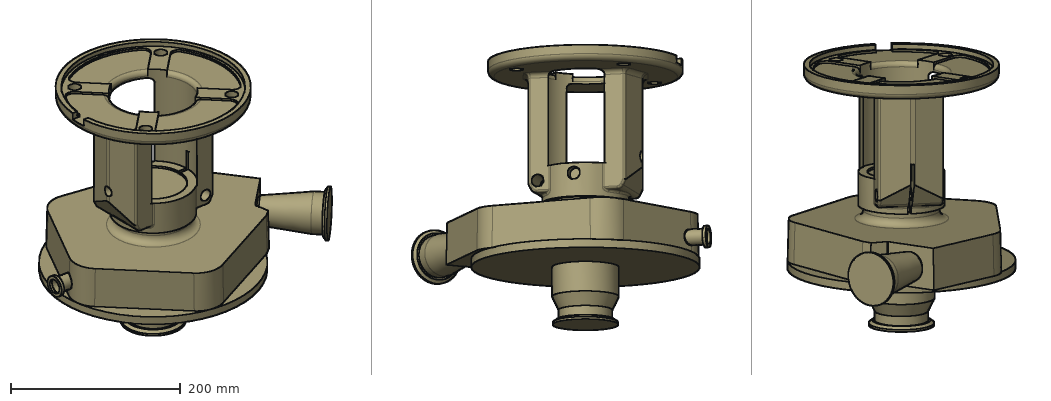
import cadquery as cq
import math


TOLERANCE = 0.01

BASE_RADIUS = 134.545
BASE_THICKNESS = 10.0
HOUSING_TOP = 60.4
HOUSING_DRAFT = 1.2
SIDE_COUNT = 5
SIDE_DISTANCE = 115.1
FIRST_SIDE_ANGLE = 27.2
SIDE_STEP = 360.0 / SIDE_COUNT
SIDE_CORNER_RADIUS = 34.0
CORNER_CUT_ANGLE = 39.0
CORNER_CUT_DISTANCE = 127.2
THROAT_DISTANCE = 139.8
THROAT_TURN = 45.0

OUTLET_ANGLE = 45.0
OUTLET_OFFSET = 91.2
OUTLET_HEIGHT = 35.0
OUTLET_FACE_DISTANCE = 114.8
OUTLET_CONE_START = 117.5
OUTLET_CONE_END = 180.0
OUTLET_END = 199.7
OUTLET_ROOT_RADIUS = 15.2
OUTLET_SMALL_RADIUS = 18.0
OUTLET_PIPE_RADIUS = 25.4
OUTLET_FERRULE_RADIUS = 32.0

INLET_RADIUS = 39.5
INLET_CONE_TOP = -35.3
INLET_CONE_BOTTOM = -51.3
INLET_PIPE_RADIUS = 31.75
INLET_FERRULE_RADIUS = 38.65
INLET_END = -68.7

FERRULE_RIM = 2.8
FERRULE_DEPTH = 6.0
FERRULE_ROOT = 2.5

DRAIN_HEIGHT = 29.5
DRAIN_END = 150.5
DRAIN_START = 110.0
DRAIN_TUBE_RADIUS = 9.7
DRAIN_BORE_RADIUS = 8.8
DRAIN_RIM_RADIUS = 13.0
DRAIN_RIM_THICKNESS = 4.0

NECK_RADIUS = 45.2
NECK_FILLET = 10.0
COLLAR_BOTTOM = 76.4
COLLAR_TOP = 116.6
COLLAR_RADIUS = 51.0
SHAFT_RADIUS = 40.0
SHAFT_RECESS = 2.5
COLLAR_HOLE_DIAMETER = 15.0
COLLAR_HOLE_HEIGHT = 104.3
SLIT_WIDTH = 4.0
SLIT_TOP = 140.0

LEG_HALF_WIDTH = 39.3
LEG_BOTTOM = 85.5
LEG_RIDGE_DISTANCE = 69.4
LEG_RIDGE_WIDTH = 6.0
LEG_FACET_ANGLE = 16.0
LEG_EDGE_FILLET = 3.0
LEG_BOTTOM_FILLET = 8.0
LEG_COLLAR_FILLET = 3.0
LEG_ROOT_FILLET = 6.0
LEG_SLANT_TOP = 115.0
LEG_SLANT_ANGLE = 27.0
LEG_HOLE_DIAMETER = 12.5
LEG_HOLE_HEIGHT = 129.0
CLAMP_BOLT_DIAMETER = 14.5
CLAMP_BOLT_Y = 47.5
CLAMP_BOLT_HEIGHT = 99.4

FLANGE_TOP = 245.8
FLANGE_BOTTOM = 228.3
FLANGE_RADIUS = 115.0
FLANGE_EDGE_FILLET = 7.0
FLANGE_BORE_RADIUS = 52.2
SPIGOT_RADIUS = 108.2
LEDGE_HEIGHT = 240.0
POCKET_FLOOR = 237.4
POCKET_RADIUS = 104.2
POCKET_CORNER_RADIUS = 10.0
POCKET_COUNT = 4
BORE_ROUND = 6.0
RIB_WIDTH = 22.8
RIB_ANGLE = 45.0
BOLT_CIRCLE_RADIUS = 92.9
BOLT_HOLE_DIAMETER = 15.5
NOTCH_WIDTH = 20.0


def disc(radius, bottom, top):
    return cq.Workplane("XY").workplane(offset=bottom).circle(radius).extrude(top - bottom)


def turned(profile):
    """Revolve (radius, height) points about the Z axis."""
    return cq.Workplane("XZ").polyline(profile).close().revolve(360, (0, 0, 0), (0, 1, 0))


def corner(side_a, side_b):
    """Crossing point of two lines, each given by its normal angle and distance from the axis."""
    angle_a, distance_a = math.radians(side_a[0]), side_a[1]
    angle_b, distance_b = math.radians(side_b[0]), side_b[1]
    spread = math.sin(angle_b - angle_a)
    x = (distance_a * math.sin(angle_b) - distance_b * math.sin(angle_a)) / spread
    y = (distance_b * math.cos(angle_a) - distance_a * math.cos(angle_b)) / spread
    return (x, y)


def housing():
    """Drafted pentagon whose upper side opens into a throat ending at the nozzle face."""
    sides = [(FIRST_SIDE_ANGLE + k * SIDE_STEP, SIDE_DISTANCE) for k in range(SIDE_COUNT)]
    right, top, left, bottom, lower_right = sides
    throat = (left[0] - THROAT_TURN, THROAT_DISTANCE)
    excess = 2 * (HOUSING_TOP - BASE_THICKNESS) * math.tan(math.radians(HOUSING_DRAFT))
    nozzle_face = (OUTLET_ANGLE, OUTLET_FACE_DISTANCE + excess)
    corner_cut = (CORNER_CUT_ANGLE, CORNER_CUT_DISTANCE)
    loop = [right, corner_cut, top, nozzle_face, throat, left, bottom, lower_right]
    points = [corner(loop[k - 1], loop[k]) for k in range(len(loop))]
    body = (
        cq.Workplane("XY")
        .workplane(offset=BASE_THICKNESS)
        .polyline(points)
        .close()
        .extrude(HOUSING_TOP - BASE_THICKNESS, taper=HOUSING_DRAFT)
    )
    middle = (BASE_THICKNESS + HOUSING_TOP) / 2
    rounded = [(throat, left), (left, bottom), (bottom, lower_right), (lower_right, right)]
    for side_a, side_b in rounded:
        x, y = corner(side_a, side_b)
        body = body.edges(cq.selectors.NearestToPointSelector((x, y, middle))).fillet(SIDE_CORNER_RADIUS)
    trim = (
        cq.Workplane("XY")
        .workplane(offset=BASE_THICKNESS)
        .polyline([
            corner(nozzle_face, top),
            corner((OUTLET_ANGLE, OUTLET_FACE_DISTANCE), top),
            corner((OUTLET_ANGLE, OUTLET_FACE_DISTANCE), throat),
            corner(nozzle_face, throat),
        ])
        .close()
        .extrude(HOUSING_TOP - BASE_THICKNESS)
    )
    return body.cut(trim)


def outlet():
    """Flared nozzle with a ferrule, turned about Z and then laid along the discharge axis."""
    rim_back = OUTLET_END - FERRULE_RIM
    nozzle = turned([
        (0, 0),
        (OUTLET_ROOT_RADIUS, 0),
        (OUTLET_ROOT_RADIUS, OUTLET_FACE_DISTANCE),
        (OUTLET_SMALL_RADIUS, OUTLET_CONE_START),
        (OUTLET_PIPE_RADIUS, OUTLET_CONE_END),
        (OUTLET_PIPE_RADIUS, OUTLET_END - FERRULE_DEPTH),
        (OUTLET_PIPE_RADIUS + FERRULE_ROOT, OUTLET_END - FERRULE_DEPTH),
        (OUTLET_FERRULE_RADIUS, rim_back),
        (OUTLET_FERRULE_RADIUS, OUTLET_END),
        (0, OUTLET_END),
    ])
    root = OUTLET_FACE_DISTANCE - 2 * OUTLET_SMALL_RADIUS
    nozzle = nozzle.cut(disc(OUTLET_FERRULE_RADIUS, 0, root))
    return (
        nozzle.rotate((0, 0, 0), (1, 0, 0), -90)
        .translate((-OUTLET_OFFSET, 0, OUTLET_HEIGHT))
        .rotate((0, 0, 0), (0, 0, 1), OUTLET_ANGLE - 90)
    )


def inlet():
    return turned([
        (0, BASE_THICKNESS),
        (INLET_RADIUS, BASE_THICKNESS),
        (INLET_RADIUS, INLET_CONE_TOP),
        (INLET_PIPE_RADIUS, INLET_CONE_BOTTOM),
        (INLET_PIPE_RADIUS, INLET_END + FERRULE_DEPTH),
        (INLET_PIPE_RADIUS + FERRULE_ROOT, INLET_END + FERRULE_DEPTH),
        (INLET_FERRULE_RADIUS, INLET_END + FERRULE_RIM),
        (INLET_FERRULE_RADIUS, INLET_END),
        (0, INLET_END),
    ])


def along_minus_y(radius, start, end):
    """Cylinder on the drain axis between two distances from the shaft."""
    return (
        cq.Workplane("XZ", origin=(0, -start, DRAIN_HEIGHT)).circle(radius).extrude(end - start)
    )


def drain():
    """Open tube standing on the housing wall; the housing closes its inner end."""
    tube = along_minus_y(DRAIN_TUBE_RADIUS, DRAIN_START, DRAIN_END)
    rim = along_minus_y(DRAIN_RIM_RADIUS, DRAIN_END - DRAIN_RIM_THICKNESS, DRAIN_END)
    return tube.union(rim).cut(along_minus_y(DRAIN_BORE_RADIUS, DRAIN_START, DRAIN_END))


def neck():
    """Short neck rising from the housing with a cove at its foot."""
    cove_top = HOUSING_TOP + NECK_FILLET
    cove_mid = NECK_FILLET * (1 - math.sqrt(0.5))
    return (
        cq.Workplane("XZ")
        .moveTo(0, HOUSING_TOP)
        .lineTo(NECK_RADIUS + NECK_FILLET, HOUSING_TOP)
        .threePointArc((NECK_RADIUS + cove_mid, HOUSING_TOP + cove_mid), (NECK_RADIUS, cove_top))
        .lineTo(NECK_RADIUS, COLLAR_BOTTOM)
        .lineTo(0, COLLAR_BOTTOM)
        .close()
        .revolve(360, (0, 0, 0), (0, 1, 0))
    )


def bracket_column():
    """Ridged column whose two outer faces become the legs once the bore is cut."""
    half_ridge = LEG_RIDGE_WIDTH / 2
    facet_drop = (LEG_HALF_WIDTH - half_ridge) * math.tan(math.radians(LEG_FACET_ANGLE))
    edge_y = LEG_RIDGE_DISTANCE - facet_drop
    upper = [
        (LEG_HALF_WIDTH, edge_y),
        (half_ridge, LEG_RIDGE_DISTANCE),
        (-half_ridge, LEG_RIDGE_DISTANCE),
        (-LEG_HALF_WIDTH, edge_y),
    ]
    lower = [(-x, -y) for x, y in upper]
    height = FLANGE_BOTTOM - LEG_BOTTOM
    column = cq.Workplane("XY").workplane(offset=LEG_BOTTOM).polyline(upper + lower).close().extrude(height)
    slant_drop = LEG_SLANT_TOP - LEG_BOTTOM
    slant_run = slant_drop * math.tan(math.radians(LEG_SLANT_ANGLE))
    for side in (1, -1):
        wedge = (
            cq.Workplane("YZ")
            .moveTo(side * LEG_RIDGE_DISTANCE, LEG_SLANT_TOP)
            .lineTo(side * LEG_RIDGE_DISTANCE, LEG_BOTTOM)
            .lineTo(side * (LEG_RIDGE_DISTANCE - slant_run), LEG_BOTTOM)
            .close()
            .extrude(LEG_HALF_WIDTH, both=True)
        )
        column = column.cut(wedge)
    column = column.faces("<Z").edges("|X").fillet(LEG_BOTTOM_FILLET)
    outline = column.faces("<X or >X").edges("not >Z")
    return outline.fillet(LEG_EDGE_FILLET)


def blend_into_collar(body):
    """Add the clamp collar and fillet the seams where the legs meet its outer wall."""
    body = body.union(disc(COLLAR_RADIUS, COLLAR_BOTTOM, COLLAR_TOP))

    def is_leg_seam(edge):
        ends_and_middle = [edge.positionAt(t) for t in (0, 0.5, 1)]
        on_wall = all(abs(math.hypot(p.x, p.y) - COLLAR_RADIUS) < TOLERANCE for p in ends_and_middle)
        middle = ends_and_middle[1].z
        return on_wall and COLLAR_BOTTOM + TOLERANCE < middle < COLLAR_TOP - TOLERANCE

    seams = [edge for edge in body.edges().vals() if is_leg_seam(edge)]
    return body.newObject(seams).fillet(LEG_COLLAR_FILLET)


def flange_pocket():
    """Quarter pocket between two diagonal ribs, opening into the bore."""
    reach = FLANGE_RADIUS
    apex = RIB_WIDTH / math.sqrt(2)
    depth = FLANGE_TOP - POCKET_FLOOR
    quadrant = (
        cq.Workplane("XY")
        .workplane(offset=POCKET_FLOOR)
        .polyline([(0, apex), (reach, apex + reach), (-reach, apex + reach)])
        .close()
        .extrude(depth)
    )
    pocket = quadrant.intersect(disc(POCKET_RADIUS, POCKET_FLOOR, FLANGE_TOP))
    pocket = pocket.edges("|Z").edges(">X or <X").fillet(POCKET_CORNER_RADIUS)
    bore_mid = FLANGE_BORE_RADIUS + BORE_ROUND * (1 - math.sqrt(0.5))
    mid_height = POCKET_FLOOR - BORE_ROUND * (1 - math.sqrt(0.5))
    roll = (
        cq.Workplane("XZ")
        .moveTo(FLANGE_BORE_RADIUS, POCKET_FLOOR - BORE_ROUND)
        .threePointArc((bore_mid, mid_height), (FLANGE_BORE_RADIUS + BORE_ROUND, POCKET_FLOOR))
        .lineTo(FLANGE_BORE_RADIUS, POCKET_FLOOR)
        .close()
        .revolve(360, (0, 0, 0), (0, 1, 0))
    )
    wedge = quadrant.translate((0, 0, POCKET_FLOOR - FLANGE_TOP))
    return pocket.union(roll.intersect(wedge))


def bracket():
    plate = disc(FLANGE_RADIUS, FLANGE_BOTTOM, FLANGE_TOP).faces("<Z").edges().fillet(FLANGE_EDGE_FILLET)
    body = bracket_column().union(plate)
    root_zone = cq.selectors.BoxSelector(
        (-FLANGE_BORE_RADIUS, -SPIGOT_RADIUS, FLANGE_BOTTOM - TOLERANCE),
        (FLANGE_BORE_RADIUS, SPIGOT_RADIUS, FLANGE_BOTTOM + TOLERANCE),
    )
    body = body.edges(root_zone).fillet(LEG_ROOT_FILLET)
    body = body.cut(disc(FLANGE_BORE_RADIUS, COLLAR_TOP, FLANGE_TOP))
    body = body.cut(disc(SPIGOT_RADIUS, LEDGE_HEIGHT, FLANGE_TOP))
    pocket = flange_pocket()
    for k in range(POCKET_COUNT):
        body = body.cut(pocket.rotate((0, 0, 0), (0, 0, 1), k * 360 / POCKET_COUNT))
    bolt_holes = (
        cq.Workplane("XY")
        .workplane(offset=FLANGE_BOTTOM)
        .polarArray(BOLT_CIRCLE_RADIUS, RIB_ANGLE, 360, POCKET_COUNT)
        .circle(BOLT_HOLE_DIAMETER / 2)
        .extrude(FLANGE_TOP - FLANGE_BOTTOM)
    )
    notch_length = FLANGE_RADIUS - FLANGE_BORE_RADIUS - 2 * BORE_ROUND
    notch = (
        cq.Workplane("XY")
        .workplane(offset=POCKET_FLOOR)
        .center(0, -FLANGE_RADIUS + notch_length / 2)
        .rect(NOTCH_WIDTH, notch_length)
        .extrude(FLANGE_TOP - POCKET_FLOOR)
    )
    return blend_into_collar(body.cut(bolt_holes).cut(notch))


def clamp_cuts():
    """Shaft recess, +Y slit with its cross bolt, -Y ridge hole and -X collar hole."""
    slit_length = LEG_RIDGE_DISTANCE - SHAFT_RADIUS
    slit = (
        cq.Workplane("XY")
        .workplane(offset=COLLAR_BOTTOM)
        .center(0, SHAFT_RADIUS + slit_length / 2)
        .rect(SLIT_WIDTH, slit_length)
        .extrude(SLIT_TOP - COLLAR_BOTTOM)
    )
    clamp_bolt = (
        cq.Workplane("YZ", origin=(0, CLAMP_BOLT_Y, CLAMP_BOLT_HEIGHT))
        .circle(CLAMP_BOLT_DIAMETER / 2)
        .extrude(LEG_HALF_WIDTH, both=True)
    )
    ridge_hole = (
        cq.Workplane("XZ", origin=(0, 0, LEG_HOLE_HEIGHT))
        .circle(LEG_HOLE_DIAMETER / 2)
        .extrude(LEG_RIDGE_DISTANCE)
    )
    collar_hole = (
        cq.Workplane("YZ", origin=(-COLLAR_RADIUS, 0, COLLAR_HOLE_HEIGHT))
        .circle(COLLAR_HOLE_DIAMETER / 2)
        .extrude(COLLAR_RADIUS - SHAFT_RADIUS)
    )
    recess = disc(SHAFT_RADIUS, COLLAR_TOP - SHAFT_RECESS, COLLAR_TOP)
    return [recess, slit, clamp_bolt, ridge_hole, collar_hole]


result = disc(BASE_RADIUS, 0, BASE_THICKNESS)
for piece in (housing(), outlet(), inlet(), drain(), neck(), bracket()):
    result = result.union(piece)
for cut in clamp_cuts():
    result = result.cut(cut)